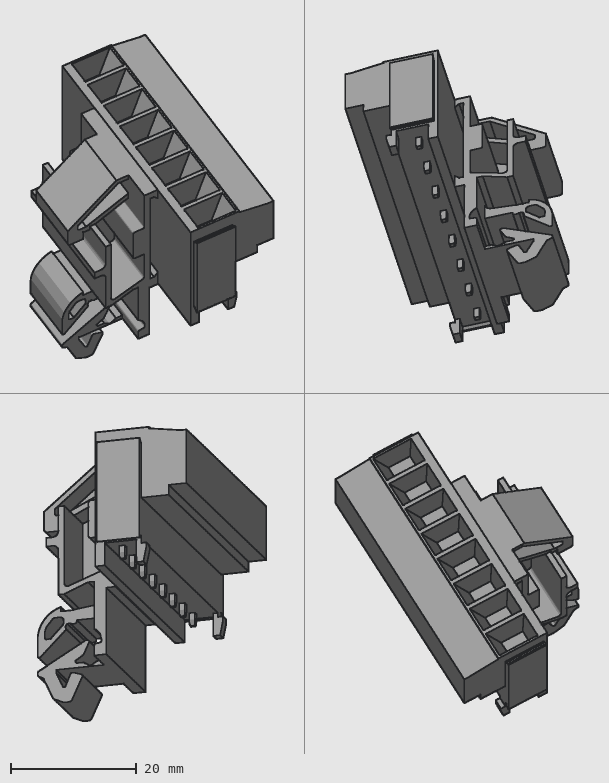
import cadquery as cq
import math


overall_length = 42.65
way_count = 8
pitch = 5.07
housing_length = 40.65

clip_width = 20.0
tongue_width = clip_width / 2
web_thickness = 1.02

housing_back = 15.22
housing_top = -0.13
housing_bottom = -22.55
slope_front = 8.95
slope_step = 0.25
roof_edge_width = 0.95
roof_edge_top = -1.25
overhang_bottom = -10.2
overhang_front = 12.25
step_bottom = -11.85
rear_wall = 7.68
ceiling = -18.8
skirt_thickness = 1.58

latch_width = 1.7
latch_thickness = 0.8
latch_hook = 0.8
latch_hook_top = -19.45
latch_hook_height = 0.85
latch_tip_lead = 0.35

plate_front = 0.6
plate_top = -2.15
plate_rim = 0.2
plate_bevel = 0.55

funnel_length = 4.35
funnel_front = 1.55
funnel_back = 8.53
funnel_depth = 4.48
funnel_side_taper = 0.75
funnel_front_taper = 0.65
funnel_back_taper = 2.4

pin_side = 0.95
pin_front = 3.3
pin_bottom = -20.9
pin_side_bevel = 0.15
pin_side_bevel_height = 1.0
pin_face_bevel = 0.13
pin_face_bevel_height = 0.3

backplate_face = -2.5
top_bevel_width = 0.4
top_bevel_height = 0.1
backplate_bottom = -22.7
bump_face = -4.55
bump_top = -7.8
bump_bottom = -14.05
wall_inner = -8.6
wall_outer = -9.6
wall_top = -8.27
wall_bottom = -23.03
nub_face = -11.65
nub_top = -13.3
nub_bottom = -14.75
leg_back = -1.58
leg_face = -3.62
leg_top = -21.45
leg_bottom = -33.8
shelf_back = -19.83
shelf_front = -22.0
bump_foot_round = 0.25
bump_edge_round = 0.4
nub_round = 0.95
shelf_round = 0.6
shelf_underside_start = -4.6
notch_top = -29.35
notch_floor = -2.4
notch_bottom = -31.72
notch_lip = -31.85
notch_curve = 2.4

recess_depth = (clip_width - web_thickness) / 2
recess_back = -1.4
recess_top = -1.35
recess_bottom = -20.55
recess_bevel = 0.72

hook_face = -13.65
hook_slope_start = -4.75
hook_slope_end = -7.15
hook_bottom = -10.6
hook_inner = -10.85
hook_seat = -9.05
hook_round = 0.55
brace_bottom_back = -5.4
brace_bottom_front = -8.75
window_top = -0.9
window_bottom = -7.97
window_front = -11.8

arm_bottom = -25.85
arm_face = -14.7
arm_end = -24.1
nose_back = -10.85
nose_curve = 5.3
slot_top = -25.07
slot_bottom = -28.53
slot_back = -10.35
slot_front = -13.47
spring_bottom = -39.4
strip_top = -33.05
lug_gap = -11.6
jaw_face = -14.7


def outline(corners):
    """Closed YZ outline of straight lines and tangent corner arcs.

    A sharp corner is (y, z) and a rounded one is (y, z, radius).
    """
    path = None
    count = len(corners)
    for i, corner in enumerate(corners):
        here = cq.Vector(*corner[:2])
        before = cq.Vector(*corners[i - 1][:2])
        after = cq.Vector(*corners[(i + 1) % count][:2])
        to_before = (before - here).normalized()
        to_after = (after - here).normalized()
        radius = corner[2] if len(corner) > 2 else 0
        half_angle = to_before.getAngle(to_after) / 2
        setback = radius / math.tan(half_angle)
        start = here + to_before * setback
        path = path.lineTo(start.x, start.y) if path else cq.Workplane("YZ").moveTo(start.x, start.y)
        if radius:
            bisector = (to_before + to_after).normalized()
            middle = here + bisector * (radius / math.sin(half_angle) - radius)
            end = here + to_after * setback
            path = path.threePointArc((middle.x, middle.y), (end.x, end.y))
    return path.close()


def bar(corners, width):
    """Prism with a YZ outline, centred on X = 0."""
    return outline(corners).extrude(width / 2, both=True)


def way_positions():
    return [(i - (way_count - 1) / 2) * pitch for i in range(way_count)]


def both_ends(end_feature):
    return end_feature.union(end_feature.mirror("YZ"))


def housing_block():
    return bar(
        [
            (housing_back, roof_edge_top),
            (housing_back - roof_edge_width, roof_edge_top),
            (slope_front, housing_top - slope_step),
            (slope_front, housing_top),
            (0, housing_top),
            (0, housing_bottom),
            (skirt_thickness, housing_bottom),
            (skirt_thickness, ceiling),
            (rear_wall, ceiling),
            (rear_wall, step_bottom),
            (overhang_front, step_bottom),
            (overhang_front, overhang_bottom),
            (housing_back, overhang_bottom),
        ],
        housing_length,
    )


def latches():
    hook_tip = rear_wall + latch_hook
    latch = bar(
        [
            (rear_wall, ceiling),
            (rear_wall, latch_hook_top),
            (hook_tip, latch_hook_top),
            (hook_tip, latch_hook_top - latch_hook_height),
            (rear_wall + latch_tip_lead, housing_bottom),
            (rear_wall - latch_thickness, housing_bottom),
            (rear_wall - latch_thickness, ceiling),
        ],
        latch_width,
    )
    return both_ends(latch.translate(((housing_length - latch_width) / 2, 0, 0)))


def side_plates():
    inner = housing_length / 2
    outer = overall_length / 2
    bevel_start = outer - plate_rim
    bevel_end = bevel_start - plate_bevel
    plate = (
        cq.Workplane("XZ")
        .polyline(
            [
                (inner, plate_top - plate_bevel),
                (bevel_end, plate_top - plate_bevel),
                (bevel_start, plate_top),
                (outer, plate_top),
                (outer, ceiling),
                (bevel_start, ceiling),
                (bevel_end, ceiling + plate_bevel),
                (inner, ceiling + plate_bevel),
            ]
        )
        .close()
        .extrude(plate_front - rear_wall)
        .translate((0, plate_front, 0))
    )
    return both_ends(plate)


def funnel(x):
    """Tapered wire entry: a rectangle at the top, lofted to a smaller one at the floor."""
    floor_front = funnel_front + funnel_front_taper
    floor_back = funnel_back - funnel_back_taper
    mouth_middle = (funnel_front + funnel_back) / 2
    floor_middle = (floor_front + floor_back) / 2
    return (
        cq.Workplane("XY", origin=(x, mouth_middle, housing_top))
        .rect(funnel_length, funnel_back - funnel_front)
        .workplane(offset=-funnel_depth)
        .center(0, floor_middle - mouth_middle)
        .rect(funnel_length - 2 * funnel_side_taper, floor_back - floor_front)
        .loft(ruled=True)
    )


def clip_frame():
    """Full-width section: back plate with bump, sloping shelf, front wall with nub, and leg."""
    frame = bar(
        [
            (0, -top_bevel_height),
            (-top_bevel_width, 0),
            (backplate_face, 0),
            (backplate_face, bump_top, bump_foot_round),
            (bump_face, bump_top, bump_edge_round),
            (bump_face, bump_bottom, bump_edge_round),
            (backplate_face, bump_bottom, bump_foot_round),
            (backplate_face, shelf_back, shelf_round),
            (wall_inner, shelf_front, shelf_round),
            (wall_inner, wall_top),
            (wall_outer, wall_top),
            (wall_outer, nub_top, nub_round),
            (nub_face, nub_top),
            (nub_face, nub_bottom),
            (wall_outer, nub_bottom, nub_round),
            (wall_outer, wall_bottom),
            (wall_inner, wall_bottom),
            (shelf_underside_start, leg_top),
            (leg_face, leg_top),
            (leg_face, notch_top),
            (notch_floor - 0.05, notch_top - 0.7, notch_curve),
            (notch_floor, notch_bottom, 0.35),
            (leg_face, notch_lip, 0.43),
            (leg_face, leg_bottom),
            (leg_back, leg_bottom),
            (leg_back, backplate_bottom),
            (0, backplate_bottom),
        ],
        clip_width,
    )
    recess = bar(
        [
            (0, recess_top - recess_bevel),
            (-recess_bevel, recess_top),
            (recess_back, recess_top),
            (recess_back, recess_bottom),
            (-recess_bevel, recess_bottom),
            (0, recess_bottom + recess_bevel),
        ],
        recess_depth,
    )
    return frame.cut(both_ends(recess.translate(((clip_width - recess_depth) / 2, 0, 0))))


def hook():
    """Triangular hook at the top that grips the upper rail edge."""
    body = bar(
        [
            (backplate_face, 0),
            (hook_slope_start, 0),
            (hook_face, hook_slope_end),
            (hook_face, hook_bottom, hook_round),
            (hook_inner, hook_bottom),
            (hook_inner, hook_seat),
            (wall_outer, hook_seat),
            (wall_outer, brace_bottom_front),
            (backplate_face, brace_bottom_back),
        ],
        tongue_width,
    )
    window = bar(
        [
            (backplate_face, window_top),
            (-4.45, window_top),
            (window_front, -6.9, 0.25),
            (window_front, window_bottom, 0.35),
            (-10.28, window_bottom),
            (backplate_face, -4.35),
        ],
        tongue_width,
    )
    return body.cut(window)


def middle_web():
    """Thin wall across the hook window and the space between back plate and front wall."""
    return bar(
        [
            (backplate_face, 0),
            (hook_slope_start, 0),
            (hook_face, hook_slope_end),
            (hook_face, hook_seat),
            (wall_inner, hook_seat),
            (wall_inner, shelf_front),
            (backplate_face, shelf_back),
        ],
        web_thickness,
    )


def upper_spring():
    """Arm ending in a nose with a curved back and a slot."""
    arm = bar(
        [
            (leg_face, -22.6),
            (-4.15, -23.55, 1.05),
            (-9.0, arm_end),
            (nose_back, arm_end),
            (nose_back, -23.35),
            (arm_face, -24.5, nose_curve),
            (arm_face, -31.9, 0.3),
            (-9.9, -27.2),
            (-10.05, -26.78, 0.2),
            (-9.75, -26.25),
            (-9.25, -26.25),
            (-8.85, -26.45, 0.2),
            (-8.2, -26.35, 0.35),
            (-8.15, arm_bottom),
            (leg_face, arm_bottom),
        ],
        tongue_width,
    )
    slot = bar(
        [
            (slot_back, slot_top, 0.65),
            (-12.02, slot_top, 0.65),
            (slot_front, -26.78, 1.7),
            (slot_front, slot_bottom, 0.25),
            (-12.55, slot_bottom),
            (slot_back, -26.3, 0.43),
        ],
        tongue_width,
    )
    return arm.cut(slot)


def lower_spring():
    """Strip under the leg carrying an inclined jaw and a curled release lug."""
    return bar(
        [
            (leg_face, leg_bottom),
            (lug_gap, leg_bottom),
            (lug_gap, -34.33),
            (-10.25, -37.22, 0.25),
            (-9.1, -34.45, 0.4),
            (-7.08, -35.1, 0.35),
            (-9.1, spring_bottom, 0.65),
            (-10.3, spring_bottom, 1.05),
            (-12.1, -38.6, 0.5),
            (-13.77, -34.95, 0.13),
            (jaw_face, -34.55, 0.4),
            (jaw_face, -33.85, 0.4),
            (-6.6, -29.35, 0.35),
            (-5.95, -29.5, 0.25),
            (-7.05, -31.75, 0.65),
            (-8.45, -32.65, 0.13),
            (-8.15, strip_top),
            (-6.95, strip_top),
            (-5.85, -33.75, 0.65),
            (-4.8, strip_top),
            (leg_face, strip_top),
        ],
        tongue_width,
    )


def connector_body():
    body = housing_block().union(latches()).union(side_plates())
    for x in way_positions():
        body = body.cut(funnel(x))
    for part in (clip_frame(), hook(), middle_web(), upper_spring(), lower_spring()):
        body = body.union(part)
    return body


def pin_blade(middle, bevel, bevel_height):
    """Corner points of a pin outline that narrows over the given height at its tip."""
    half = pin_side / 2
    return [
        (middle - half, ceiling),
        (middle - half, pin_bottom + bevel_height),
        (middle - half + bevel, pin_bottom),
        (middle + half - bevel, pin_bottom),
        (middle + half, pin_bottom + bevel_height),
        (middle + half, ceiling),
    ]


def contact_pin(x):
    """Square pin standing on the channel ceiling, its tip bevelled on all four sides."""
    side = bar(pin_blade(pin_front + pin_side / 2, pin_face_bevel, pin_face_bevel_height), pin_side)
    face = (
        cq.Workplane("XZ")
        .polyline(pin_blade(0, pin_side_bevel, pin_side_bevel_height))
        .close()
        .extrude(-rear_wall)
    )
    return side.intersect(face).translate((x, 0, 0))


body = connector_body()
pins = [contact_pin(x) for x in way_positions()]

result = cq.Compound.makeCompound([body.val(), *[pin.val() for pin in pins]])